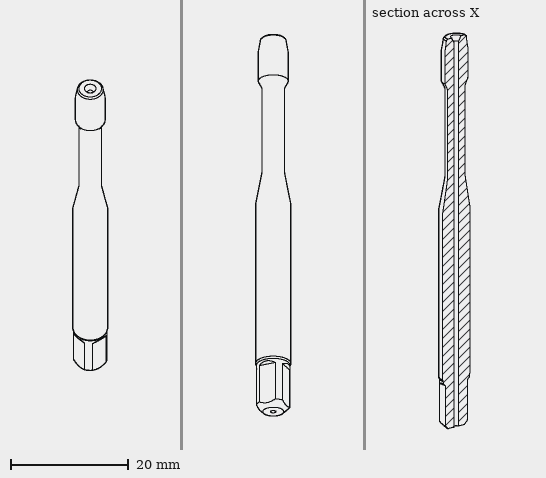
import cadquery as cq
import math

length = 70.0

shank_diameter = 6.0
drive_diameter = 5.75
end_diameter = 3.6
face_diameter = 3.85
neck_diameter = 3.85
head_diameter = 5.1
tip_diameter = 4.4
bore_diameter = 0.9
bore_mouth_diameter = 1.95

drive_top = 8.7
shank_bottom = 9.0
shank_top = 39.0
neck_bottom = 45.0
neck_top = 60.55
head_bottom = 62.1
head_top = 67.6
tip_edge_height = 0.3
shoulder_bottom = 61.05
shoulder_diameter = 4.05

square_size = 4.9
flat_top = 7.9
flat_runout = 0.7

countersink_half_angle = 30.0


def revolved_body():
    """Turned blank, with a 45 degree drive-end chamfer and a curved neck-to-head transition."""
    shank_radius = shank_diameter / 2
    drive_radius = drive_diameter / 2
    end_radius = end_diameter / 2
    neck_radius = neck_diameter / 2
    head_radius = head_diameter / 2
    shoulder_radius = shoulder_diameter / 2
    tip_radius = tip_diameter / 2
    end_chamfer = drive_radius - end_radius
    profile = (
        cq.Workplane("XZ")
        .moveTo(0, 0)
        .lineTo(end_radius, 0)
        .lineTo(drive_radius, end_chamfer)
        .lineTo(drive_radius, drive_top)
        .lineTo(shank_radius, shank_bottom)
        .lineTo(shank_radius, shank_top)
        .lineTo(neck_radius, neck_bottom)
        .lineTo(neck_radius, neck_top)
        .tangentArcPoint((shoulder_radius, shoulder_bottom), relative=False)
        .lineTo(head_radius, head_bottom)
        .lineTo(head_radius, head_top)
        .lineTo(tip_radius, length - tip_edge_height)
        .lineTo(face_diameter / 2, length)
        .lineTo(0, length)
        .close()
    )
    return profile.revolve(360, (0, 0, 0), (0, 1, 0))


def flat_cutter():
    """Cutter for the flat on the -Y side, with a 45 degree run-out at its top."""
    flat = square_size / 2
    return (
        cq.Workplane("YZ")
        .moveTo(-flat, 0)
        .lineTo(-flat, flat_top)
        .lineTo(-flat - flat_runout, flat_top + flat_runout)
        .lineTo(-flat - flat_runout, 0)
        .close()
        .extrude(shank_diameter / 2, both=True)
    )


def center_bore():
    """Through bore with a conical mouth at the tip."""
    bore_radius = bore_diameter / 2
    mouth_radius = bore_mouth_diameter / 2
    mouth_depth = (mouth_radius - bore_radius) / math.tan(math.radians(countersink_half_angle))
    return (
        cq.Workplane("XZ")
        .moveTo(0, 0)
        .lineTo(bore_radius, 0)
        .lineTo(bore_radius, length - mouth_depth)
        .lineTo(mouth_radius, length)
        .lineTo(0, length)
        .close()
        .revolve(360, (0, 0, 0), (0, 1, 0))
    )


result = revolved_body()
for angle in (0, 90, 180, 270):
    result = result.cut(flat_cutter().rotate((0, 0, 0), (0, 0, 1), angle))
result = result.cut(center_bore())